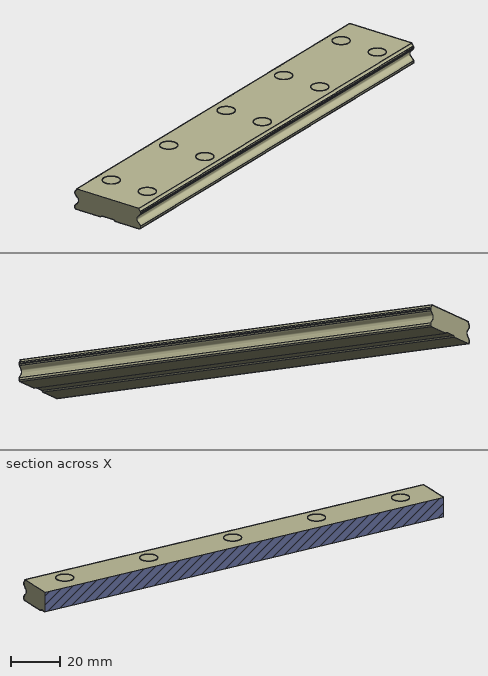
import cadquery as cq

LENGTH = 190.0
WIDTH = 33.0
HEIGHT = 9.3
HALF_WIDTH = WIDTH / 2

LIP_CENTRE = 7.5
LIP_FLAT_RISE = 0.2
GROOVE_INNER_RISE = 0.8
GROOVE_INNER_INSET = 0.2
GROOVE_OUTER_RISE = 1.3
GROOVE_OUTER_INSET = 0.8
GROOVE_RADIUS = 1.5
TOP_INSET = 1.0

WAIST_INSET = 1.9
WAIST_TOP = 5.0
WAIST_BOTTOM = 3.6
WAIST_FILLET = 0.8
FOOT_SHOULDER_INSET = 0.4
FOOT_SHOULDER = WAIST_BOTTOM - (WAIST_INSET - FOOT_SHOULDER_INSET)
FOOT_FLAT_TOP = 1.5
FOOT_CHAMFER = 0.5

RELIEF_WIDTH = 7.2
RELIEF_DEPTH = 0.5

CAP_DIAMETER = 7.5
CAP_RECESS = 0.2
CAP_SPACING = 18.0
CAP_ROW_SPAN = 160.0
CAPS_PER_ROW = 5


def half_profile():
    """Right half of the cross-section, traced upwards from the base to the top."""
    side = HALF_WIDTH
    waist = side - WAIST_INSET
    groove_inner = side - GROOVE_INNER_INSET
    groove_outer = side - GROOVE_OUTER_INSET
    return (
        cq.Workplane("XZ", origin=(0, LENGTH / 2, 0))
        .moveTo(0, RELIEF_DEPTH)
        .lineTo(RELIEF_WIDTH / 2 - RELIEF_DEPTH, RELIEF_DEPTH)
        .lineTo(RELIEF_WIDTH / 2, 0)
        .lineTo(side - FOOT_CHAMFER, 0)
        .lineTo(side, FOOT_CHAMFER)
        .lineTo(side, FOOT_FLAT_TOP)
        .lineTo(side - FOOT_SHOULDER_INSET, FOOT_SHOULDER)
        .lineTo(waist, WAIST_BOTTOM)
        .lineTo(waist, WAIST_TOP)
        .lineTo(groove_outer, LIP_CENTRE - GROOVE_OUTER_RISE)
        .radiusArc((groove_inner, LIP_CENTRE - GROOVE_INNER_RISE), GROOVE_RADIUS)
        .lineTo(side, LIP_CENTRE - LIP_FLAT_RISE)
        .lineTo(side, LIP_CENTRE + LIP_FLAT_RISE)
        .lineTo(groove_inner, LIP_CENTRE + GROOVE_INNER_RISE)
        .radiusArc((groove_outer, LIP_CENTRE + GROOVE_OUTER_RISE), GROOVE_RADIUS)
        .lineTo(side - TOP_INSET, HEIGHT)
        .lineTo(0, HEIGHT)
        .close()
    )


def rail_body():
    half = half_profile().extrude(LENGTH)
    waist = HALF_WIDTH - WAIST_INSET
    margin = WAIST_FILLET / 4
    waist_corners = cq.selectors.BoxSelector(
        (waist - margin, -LENGTH, WAIST_BOTTOM - margin),
        (waist + margin, LENGTH, WAIST_TOP + margin),
    )
    half = half.edges("|Y").edges(waist_corners).fillet(WAIST_FILLET)
    return half.union(half.mirror("YZ"))


def cap_recesses():
    pitch = CAP_ROW_SPAN / (CAPS_PER_ROW - 1)
    return (
        cq.Workplane("XY", origin=(0, 0, HEIGHT - CAP_RECESS))
        .rarray(CAP_SPACING, pitch, 2, CAPS_PER_ROW)
        .circle(CAP_DIAMETER / 2)
        .extrude(CAP_RECESS)
    )


result = rail_body().cut(cap_recesses())